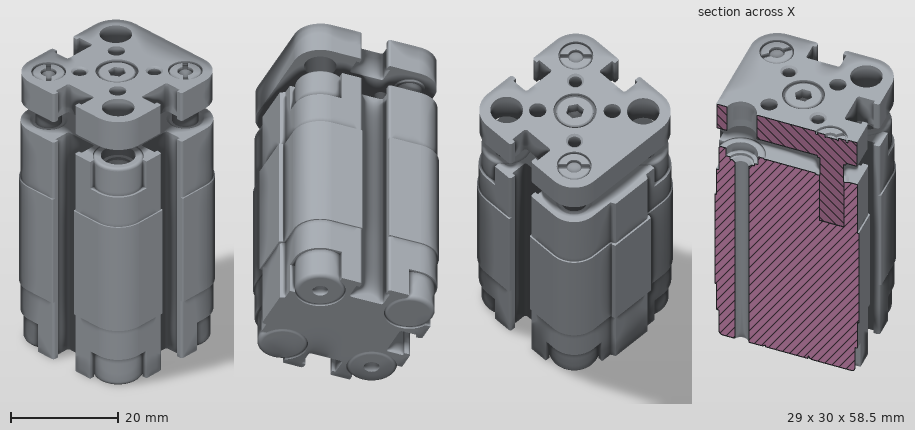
import cadquery as cq
import math

total_height = 58.5
plate_thickness = 6.15
plate_gap = 4.5
plate_bottom = total_height - plate_thickness
deck_z = plate_bottom - plate_gap
sleeve_bottom = 12.65
sleeve_top = 35.45

end_cap_half, end_cap_radius = 14.2, 5.15
sleeve_half, sleeve_radius = 14.5, 5.45
plate_half, plate_radius = 14.15, 5.25

slot_mouth_half = 2.7
slot_inner_half = 3.4
slot_floor = 9.55
slot_lip_inside = 13.0
end_cap_slot_round = 0.45
sleeve_slot_round = 0.25
slot_angles = (-90, 0, 90)

rib_top = 15.5
rib_base_half = 4.6
rib_belly_half = 4.85
rib_belly_rise = 0.3
end_cap_rib_top = 15.15
end_cap_rib_top_half = 4.15

corner = 9.0
guide_corners = ((corner, corner), (-corner, -corner))
bolt_corners = ((-corner, corner), (corner, -corner))

boss_diameter = 9.5
boss_pocket_start = 6.8
boss_rise = 0.1
boss_top = deck_z + boss_rise
top_boss_height, top_boss_round = 5.9 + boss_rise, 0.6
bottom_boss_height, bottom_boss_round = 6.1, 0.8

bolt_bore_diameter = 6.5
bolt_bore_depth = 2.0
bolt_step_diameter = 5.0
bolt_step_depth = 0.6
bolt_cone_diameter = 4.15
bolt_cone_depth = 0.6
bolt_hole_diameter = 3.0

piston_diameter = 8.0
piston_flat_half = 3.5
piston_flat_start = deck_z + 0.9
piston_nose_diameter = 7.0
piston_nose_face_diameter = 6.5
piston_nose_drop = 0.2
hex_width = 3.0
hex_depth = 2.35

guide_diameter = 5.0
guide_head_diameter = 6.0
guide_head_overhang = 0.45
guide_nose_face_diameter = 5.7
guide_nose_drop = 0.2
guide_bore_diameter = 6.5
guide_slot_width = 1.0
guide_slot_depth = 0.75
guide_pin_hole_diameter = 3.0
guide_pin_tip_diameter = 2.45
guide_pin_drop = 0.45
guide_seat_diameter = 7.0
guide_seat_inner_diameter = 6.0
guide_seat_depth = 0.3

rod_depth = 11.7
ring_gap_depth = 0.7

plate_bolt_hole_diameter = 6.1
small_hole_offset = 4.9
threaded_hole_diameter = 2.45
small_hole_diameter = 3.2


def cylinder(x, y, bottom, top, diameter):
    return cq.Workplane("XY", origin=(x, y, bottom)).circle(diameter / 2).extrude(top - bottom)


def cone(x, y, bottom, top, bottom_diameter, top_diameter):
    base = cq.Workplane("XY", origin=(x, y, bottom)).circle(bottom_diameter / 2)
    return base.workplane(offset=top - bottom).circle(top_diameter / 2).loft(ruled=True)


def rounded_block(half, radius, bottom, top):
    block = cq.Workplane("XY", origin=(0, 0, bottom)).rect(2 * half, 2 * half).extrude(top - bottom)
    return block.edges("|Z").fillet(radius)


def cut_slots(block, half, rounding, bottom, top):
    """Cut the three T-slots, each with rounded mouth edges and floor corners."""
    arc_inset = rounding * (1 - math.sqrt(0.5))
    half_slot = (
        cq.Workplane("XY", origin=(0, 0, bottom))
        .moveTo(0, -half)
        .lineTo(slot_mouth_half + rounding, -half)
        .threePointArc(
            (slot_mouth_half + arc_inset, -half + arc_inset), (slot_mouth_half, -half + rounding)
        )
        .lineTo(slot_mouth_half, -slot_lip_inside)
        .lineTo(slot_inner_half, -slot_lip_inside)
        .lineTo(slot_inner_half, -slot_floor - rounding)
        .threePointArc(
            (slot_inner_half - arc_inset, -slot_floor - arc_inset),
            (slot_inner_half - rounding, -slot_floor),
        )
        .lineTo(0, -slot_floor)
        .close()
        .extrude(top - bottom)
    )
    slot = half_slot.union(half_slot.mirror("YZ")).clean()
    for angle in slot_angles:
        block = block.cut(slot.rotate((0, 0, 0), (0, 0, 1), angle))
    return block


def rib(right_side, bottom, top):
    """Rear rib from the points of its right side, listed outward from the inside of the housing."""
    left_side = [(-x, y) for x, y in reversed(right_side)]
    outline = cq.Workplane("XY", origin=(0, 0, bottom)).polyline(right_side + left_side).close()
    return outline.extrude(top - bottom)


def make_end_cap_section():
    section = rounded_block(end_cap_half, end_cap_radius, 0, deck_z)
    section = cut_slots(section, end_cap_half, end_cap_slot_round, 0, deck_z)
    rib_side = [
        (rib_base_half, slot_lip_inside),
        (rib_base_half, end_cap_half),
        (end_cap_rib_top_half, end_cap_rib_top),
    ]
    return section.union(rib(rib_side, 0, deck_z))


def make_sleeve_section():
    section = rounded_block(sleeve_half, sleeve_radius, sleeve_bottom, sleeve_top)
    section = cut_slots(section, sleeve_half, sleeve_slot_round, sleeve_bottom, sleeve_top)
    rib_side = [
        (rib_base_half, slot_lip_inside),
        (rib_base_half, sleeve_half),
        (rib_belly_half, sleeve_half + rib_belly_rise),
        (rib_base_half, rib_top),
    ]
    return section.union(rib(rib_side, sleeve_bottom, sleeve_top))


def boss_cutter(x, y, end_z, height, inward, rounding):
    """Material to remove around one corner boss; inward is the Z direction into the housing."""
    pocket_size = sleeve_half - boss_pocket_start
    pocket_center = boss_pocket_start + pocket_size / 2
    pocket = (
        cq.Workplane("XY", origin=(0, 0, end_z))
        .center(math.copysign(pocket_center, x), math.copysign(pocket_center, y))
        .rect(pocket_size, pocket_size)
        .extrude(inward * height)
    )
    end_disc = cq.Workplane("XY", origin=(x, y, end_z)).circle(boss_diameter / 2).extrude(inward * height)
    end_face = "<Z" if inward > 0 else ">Z"
    rounded_boss = end_disc.faces(end_face).edges().fillet(rounding)
    return pocket.union(end_disc).cut(rounded_boss)


def bolt_hole(x, y):
    """Through hole with a bore, a step and a conical seat, from the boss top down."""
    bore_bottom = boss_top - bolt_bore_depth
    step_bottom = bore_bottom - bolt_step_depth
    cone_bottom = step_bottom - bolt_cone_depth
    return (
        cylinder(x, y, 0, boss_top, bolt_hole_diameter)
        .union(cone(x, y, cone_bottom, step_bottom, bolt_hole_diameter, bolt_cone_diameter))
        .union(cylinder(x, y, step_bottom, boss_top, bolt_step_diameter))
        .union(cylinder(x, y, bore_bottom, boss_top, bolt_bore_diameter))
    )


def guide_hole(x, y):
    seat_bottom = deck_z - guide_seat_depth
    seat = cone(x, y, seat_bottom, deck_z, guide_seat_inner_diameter, guide_seat_diameter)
    return cylinder(x, y, deck_z - rod_depth, deck_z, guide_diameter).union(seat)


def make_housing():
    body = make_end_cap_section().union(make_sleeve_section())
    for x, y in bolt_corners:
        body = body.union(cylinder(x, y, deck_z, boss_top, boss_diameter))
        body = body.cut(boss_cutter(x, y, boss_top, top_boss_height, -1, top_boss_round))
    for x, y in bolt_corners + guide_corners:
        body = body.cut(boss_cutter(x, y, 0, bottom_boss_height, 1, bottom_boss_round))
    for x, y in bolt_corners:
        body = body.cut(bolt_hole(x, y))
    for x, y in guide_corners:
        body = body.cut(guide_hole(x, y))
    return body.cut(cylinder(0, 0, deck_z - rod_depth, deck_z, piston_diameter))


def ring_gap(x, y, bore_diameter, nose_diameter, face_diameter, drop):
    """Material to remove around a rod end: an open bore with the chamfered nose left standing."""
    bottom = total_height - ring_gap_depth
    face_z = total_height - drop
    chamfer_start = face_z - (nose_diameter - face_diameter) / 2
    nose = cylinder(x, y, bottom, chamfer_start, nose_diameter)
    nose = nose.union(cone(x, y, chamfer_start, face_z, nose_diameter, face_diameter))
    return cylinder(x, y, bottom, total_height, bore_diameter).cut(nose)


def piston_rod():
    rod = cylinder(0, 0, deck_z - rod_depth, plate_bottom, piston_diameter)
    flat_zone = plate_bottom - piston_flat_start
    flats = (
        cq.Workplane("XY", origin=(0, 0, piston_flat_start))
        .rect(piston_diameter, piston_diameter)
        .rect(piston_diameter, 2 * piston_flat_half)
        .extrude(flat_zone)
    )
    return rod.cut(flats)


def guide_rod(x, y):
    rod = cylinder(x, y, deck_z - rod_depth, plate_bottom, guide_diameter)
    head = cylinder(x, y, plate_bottom - guide_head_overhang, plate_bottom, guide_head_diameter)
    return rod.union(head)


def guide_end_cutter(x, y):
    """Ring gap, screwdriver slot and pin recess of one guide rod end."""
    face_z = total_height - guide_nose_drop
    floor_z = face_z - guide_slot_depth
    tip_z = face_z - guide_pin_drop
    slot = (
        cq.Workplane("XY", origin=(x, y, floor_z))
        .transformed(rotate=(0, 0, -45))
        .rect(guide_bore_diameter, guide_slot_width)
        .extrude(guide_slot_depth)
    )
    slot = slot.intersect(cylinder(x, y, floor_z, face_z, guide_head_diameter))
    pin_hole = cylinder(x, y, floor_z, face_z, guide_pin_hole_diameter)
    pin = cone(x, y, floor_z, tip_z, guide_pin_hole_diameter, guide_pin_tip_diameter)
    gap = ring_gap(
        x, y, guide_bore_diameter, guide_head_diameter, guide_nose_face_diameter, guide_nose_drop
    )
    return gap.union(slot).union(pin_hole).cut(pin)


def piston_end_cutter():
    """Ring gap and hexagon socket of the piston rod end."""
    gap = ring_gap(0, 0, piston_diameter, piston_nose_diameter, piston_nose_face_diameter, piston_nose_drop)
    hex_corner_diameter = hex_width / math.cos(math.pi / 6)
    hexagon = (
        cq.Workplane("XY", origin=(0, 0, total_height - hex_depth))
        .transformed(rotate=(0, 0, 30))
        .polygon(6, hex_corner_diameter)
        .extrude(hex_depth)
    )
    return gap.union(hexagon)


def threaded_hole(x, y):
    countersink_depth = (small_hole_diameter - threaded_hole_diameter) / 2
    countersink_start = total_height - countersink_depth
    hole = cylinder(x, y, plate_bottom, total_height, threaded_hole_diameter)
    return hole.union(
        cone(x, y, countersink_start, total_height, threaded_hole_diameter, small_hole_diameter)
    )


def make_front_plate():
    plate = rounded_block(plate_half, plate_radius, plate_bottom, total_height)
    plate = cut_slots(plate, plate_half, end_cap_slot_round, plate_bottom, total_height)
    for x, y in bolt_corners:
        plate = plate.cut(cylinder(x, y, plate_bottom, total_height, plate_bolt_hole_diameter))
    for side in (-1, 1):
        offset = side * small_hole_offset
        plate = plate.cut(threaded_hole(offset, offset))
        plate = plate.cut(cylinder(offset, -offset, plate_bottom, total_height, small_hole_diameter))
    return plate


def make_moving_unit():
    unit = make_front_plate().union(piston_rod())
    for x, y in guide_corners:
        unit = unit.union(guide_rod(x, y)).cut(guide_end_cutter(x, y))
    return unit.cut(piston_end_cutter())


housing = make_housing()
moving_unit = make_moving_unit()
result = cq.Compound.makeCompound([housing.val(), moving_unit.val()])